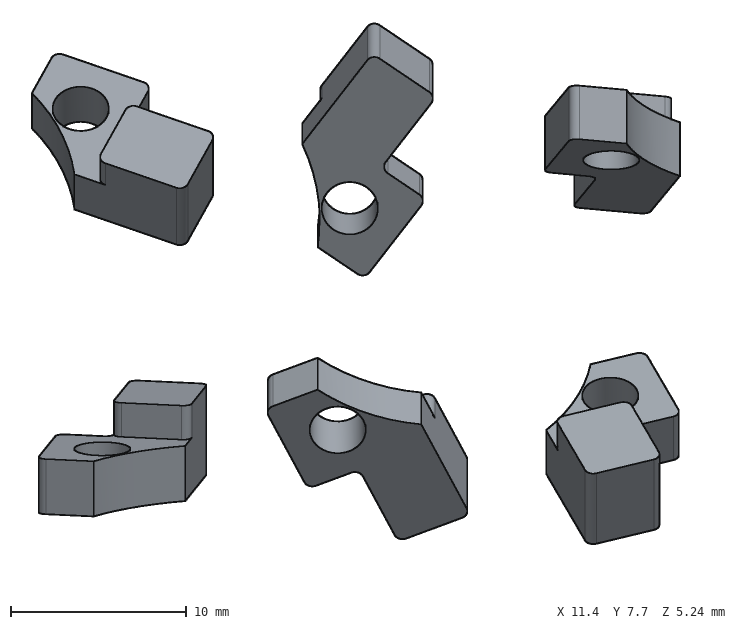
import cadquery as cq
import math

length = 11.41
width = 7.7
height = 5.24

plate_height = 3.24
wing_length = 6.0
block_width = 4.5
corner_radius = 0.5

hole_diameter = 3.2
hole_x = wing_length / 2
hole_y = block_width

arc_end_x = 4.59
arc_start_y = 4.42
arc_depth = 0.45


def arc_midpoint():
    """Middle of the concave arc, offset from its chord into the plate."""
    chord = math.hypot(arc_end_x, arc_start_y)
    x = arc_end_x / 2 + arc_depth * arc_start_y / chord
    y = arc_start_y / 2 + arc_depth * arc_end_x / chord
    return x, y


def make_plate():
    """L-shaped plate with the concave corner and rounded vertical edges."""
    plate = (
        cq.Workplane("XY")
        .moveTo(arc_end_x, 0)
        .lineTo(length, 0)
        .lineTo(length, block_width)
        .lineTo(wing_length, block_width)
        .lineTo(wing_length, width)
        .lineTo(0, width)
        .lineTo(0, arc_start_y)
        .threePointArc(arc_midpoint(), (arc_end_x, 0))
        .close()
        .extrude(plate_height)
    )
    rounded_corners = [
        (length, 0),
        (length, block_width),
        (wing_length, block_width),
        (wing_length, width),
        (0, width),
    ]
    edges = cq.Workplane("XY")
    for x, y in rounded_corners:
        corner = cq.selectors.NearestToPointSelector((x, y, plate_height / 2))
        edges = edges.add(plate.edges("|Z").edges(corner))
    return plate.newObject(edges.vals()).fillet(corner_radius)


def make_block():
    """Raised block with rounded vertical edges, resting on the plate's top face."""
    return (
        cq.Workplane("XY", origin=(wing_length, 0, plate_height))
        .rect(length - wing_length, block_width, centered=False)
        .extrude(height - plate_height)
        .edges("|Z")
        .fillet(corner_radius)
    )


def make_hole():
    """Cutter for the through hole."""
    return cq.Workplane("XY").center(hole_x, hole_y).circle(hole_diameter / 2).extrude(plate_height)


result = make_plate().union(make_block()).cut(make_hole())